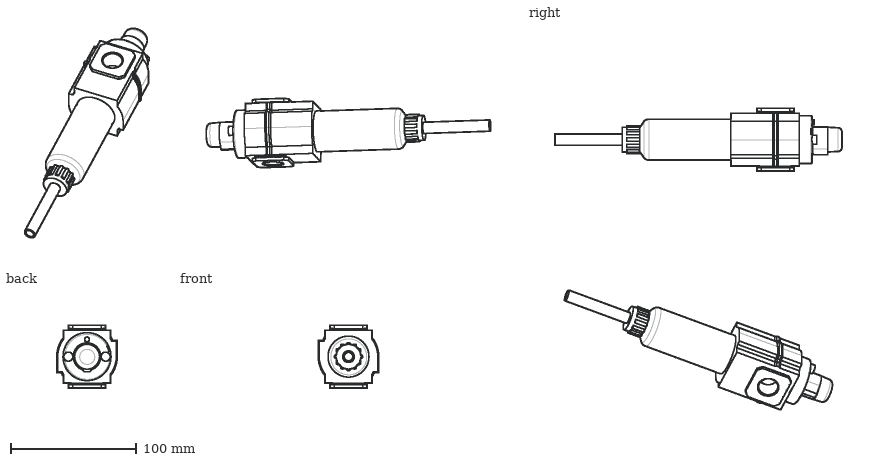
import cadquery as cq
import math


OVERALL_LENGTH = 229.6
KNOB_TIP_Y = 53.3
KNOB_STEP_Y = 42.0
BONNET_TOP_Y = 29.3
HOUSING_TOP_Y = 19.1
HOUSING_BOTTOM_Y = -35.6
BOWL_SHOULDER_Y = -101.4
BOWL_BOTTOM_Y = -108.6
GRIP_BOTTOM_Y = -118.7
NUT_BOTTOM_Y = -122.6
TUBE_END_Y = KNOB_TIP_Y - OVERALL_LENGTH

HOUSING_HALF_HEIGHT = 21.25
FACE_HALF_WIDTH = 18.4
FLANK_RADIUS = 23.45
LEDGE_Z = 12.15
LEDGE_SLOPE_HEIGHT = 2.85
LEDGE_SLOPE_WIDTH = 1.5

BAND_HEIGHT = 0.75
BAND_BASE_HALF = 2.3
BAND_CREST_HALF = 1.0

OVERALL_HEIGHT = 50.25
FLANGE_SIZE = 29.8
FLANGE_CORNER = 3.5
FLANGE_OUTER_Z = OVERALL_HEIGHT / 2
FLANGE_THICKNESS = 2.7
NECK_SIZE = 25.2
PORT_RADIUS = 7.7
PORT_CHAMFER = 0.8
PORT_DEPTH = 15.0

BONNET_RADIUS = 19.2
BONNET_FILLET = 1.2
SEAT_RADIUS = 11.0
SEAT_HEIGHT = 0.6
POST_RADIUS = 3.65
POST_OFFSET = 14.9
POST_HEIGHT = 3.7
PIN_RADIUS = 1.9
PIN_OFFSET = 13.8
PIN_HEIGHT = 1.7

KNOB_RADIUS = 10.1
KNOB_CAP_BASE_RADIUS = 10.05
KNOB_CAP_TOP_RADIUS = 9.45
KNOB_CAP_FILLET = 3.6
LUG_REACH = 12.2
LUG_FLANK_ANGLE = math.radians(45)

BOWL_RADIUS = 16.4
BOWL_BEND_RADIUS = 4.75
BOWL_BEND_ANGLE = math.radians(55)

NUT_RADIUS = 10.05
GRIP_COUNT = 12
GRIP_RIB_RADIUS = 1.4
GRIP_TIP_RADIUS = 11.25
TUBE_RADIUS = 4.6
TUBE_BORE_RADIUS = 3.4


def cylinder_along_y(radius, y_start, y_end, x=0.0, z=0.0):
    """Cylinder parallel to Y between two Y places."""
    direction = cq.Vector(0, math.copysign(1, y_end - y_start), 0)
    solid = cq.Solid.makeCylinder(radius, abs(y_end - y_start), cq.Vector(x, y_start, z), direction)
    return cq.Workplane(obj=solid)


def housing_outline(y, grow=0.0):
    """Closed housing cross section at y, with both flanks moved outward by grow."""
    face_x = FACE_HALF_WIDTH + grow
    radius = FLANK_RADIUS + grow
    ledge_x = face_x + LEDGE_SLOPE_WIDTH
    ledge_z = LEDGE_Z + grow
    slope_top_z = ledge_z + LEDGE_SLOPE_HEIGHT
    arc_end_z = math.sqrt(radius**2 - face_x**2)
    half_arc = math.asin(arc_end_z / radius) / 2
    arc_mid = (radius * math.cos(half_arc), radius * math.sin(half_arc))

    outline = cq.Workplane("XZ", origin=(0, y, 0)).moveTo(face_x, HOUSING_HALF_HEIGHT)
    for side in (-1, 1):
        outline = (
            outline.lineTo(side * face_x, -side * HOUSING_HALF_HEIGHT)
            .lineTo(side * face_x, -side * slope_top_z)
            .lineTo(side * ledge_x, -side * ledge_z)
            .lineTo(side * radius, -side * ledge_z)
            .lineTo(side * radius, 0)
            .threePointArc((side * arc_mid[0], side * arc_mid[1]), (side * face_x, side * arc_end_z))
            .lineTo(side * face_x, side * HOUSING_HALF_HEIGHT)
        )
    return outline.close()


def band_half(direction):
    """Half of the band, tapering from its crest towards +Y or -Y."""
    crest = housing_outline(direction * BAND_CREST_HALF, BAND_HEIGHT).val()
    base = housing_outline(direction * BAND_BASE_HALF).val()
    return cq.Workplane(obj=cq.Solid.makeLoft([crest, base], True))


def port_flange(side):
    """Square flange with cut corners on a narrower neck, on the +Z or -Z face."""
    flange_inner_z = FLANGE_OUTER_Z - FLANGE_THICKNESS
    flange = (
        cq.Workplane("XY", origin=(0, 0, side * flange_inner_z))
        .rect(FLANGE_SIZE, FLANGE_SIZE)
        .extrude(side * FLANGE_THICKNESS)
        .edges("|Z")
        .chamfer(FLANGE_CORNER)
    )
    neck = (
        cq.Workplane("XY", origin=(0, 0, side * HOUSING_HALF_HEIGHT))
        .rect(NECK_SIZE, NECK_SIZE)
        .extrude(side * (flange_inner_z - HOUSING_HALF_HEIGHT))
    )
    return flange.union(neck)


def port_hole(side):
    """Blind round port with a chamfered mouth."""
    mouth_radius = PORT_RADIUS + PORT_CHAMFER
    floor_z = FLANGE_OUTER_Z - PORT_DEPTH
    profile = [
        (0, side * floor_z),
        (PORT_RADIUS, side * floor_z),
        (PORT_RADIUS, side * (FLANGE_OUTER_Z - PORT_CHAMFER)),
        (mouth_radius, side * FLANGE_OUTER_Z),
        (0, side * FLANGE_OUTER_Z),
    ]
    return cq.Workplane("XZ").polyline(profile).close().revolve(360, (0, 0), (0, 1))


def make_housing():
    housing = housing_outline(HOUSING_TOP_Y).extrude(HOUSING_TOP_Y - HOUSING_BOTTOM_Y)
    band_core = housing_outline(BAND_CREST_HALF, BAND_HEIGHT).extrude(2 * BAND_CREST_HALF)
    housing = housing.union(band_core)
    for side in (-1, 1):
        housing = housing.union(band_half(side)).union(port_flange(side))
    for side in (-1, 1):
        housing = housing.cut(port_hole(side))
    return housing


def make_bonnet():
    """Round cover with two posts, a small pin and a raised seat for the knob."""
    bonnet = cylinder_along_y(BONNET_RADIUS, HOUSING_TOP_Y, BONNET_TOP_Y)
    bonnet = bonnet.faces(">Y").edges().fillet(BONNET_FILLET)
    bonnet = bonnet.union(cylinder_along_y(SEAT_RADIUS, HOUSING_TOP_Y, BONNET_TOP_Y + SEAT_HEIGHT))
    for side in (-1, 1):
        post = cylinder_along_y(POST_RADIUS, HOUSING_TOP_Y, BONNET_TOP_Y + POST_HEIGHT, x=side * POST_OFFSET)
        bonnet = bonnet.union(post)
    pin = cylinder_along_y(PIN_RADIUS, HOUSING_TOP_Y, BONNET_TOP_Y + PIN_HEIGHT, z=PIN_OFFSET)
    return bonnet.union(pin)


def make_knob():
    """Round knob with a tapered, rounded cap and a lug under its lower part."""
    knob_base_y = BONNET_TOP_Y + SEAT_HEIGHT
    profile = [
        (0, knob_base_y),
        (KNOB_RADIUS, knob_base_y),
        (KNOB_RADIUS, KNOB_STEP_Y),
        (KNOB_CAP_BASE_RADIUS, KNOB_STEP_Y),
        (KNOB_CAP_TOP_RADIUS, KNOB_TIP_Y),
        (0, KNOB_TIP_Y),
    ]
    knob = cq.Workplane("XY").polyline(profile).close().revolve(360, (0, 0), (0, 1))
    knob = knob.faces(">Y").edges().fillet(KNOB_CAP_FILLET)

    root_x = KNOB_RADIUS * math.sin(LUG_FLANK_ANGLE)
    root_z = KNOB_RADIUS * math.cos(LUG_FLANK_ANGLE)
    tip_x = root_x - (LUG_REACH - root_z) / math.tan(LUG_FLANK_ANGLE)
    lug_outline = [(root_x, -root_z), (tip_x, -LUG_REACH), (-tip_x, -LUG_REACH), (-root_x, -root_z)]
    lug = (
        cq.Workplane("XZ", origin=(0, KNOB_STEP_Y, 0))
        .polyline(lug_outline)
        .close()
        .extrude(KNOB_STEP_Y - knob_base_y)
    )
    return knob.union(lug)


def make_bowl():
    """Cylindrical bowl whose lower end bends into a cone."""
    bend_centre_radius = BOWL_RADIUS - BOWL_BEND_RADIUS

    def bend_point(angle):
        return (
            bend_centre_radius + BOWL_BEND_RADIUS * math.cos(angle),
            BOWL_SHOULDER_Y - BOWL_BEND_RADIUS * math.sin(angle),
        )

    cone_start = bend_point(BOWL_BEND_ANGLE)
    cone_length = cone_start[1] - BOWL_BOTTOM_Y
    cone_end_radius = cone_start[0] - cone_length * math.tan(BOWL_BEND_ANGLE)
    return (
        cq.Workplane("XY")
        .moveTo(0, HOUSING_BOTTOM_Y)
        .lineTo(BOWL_RADIUS, HOUSING_BOTTOM_Y)
        .lineTo(BOWL_RADIUS, BOWL_SHOULDER_Y)
        .threePointArc(bend_point(BOWL_BEND_ANGLE / 2), cone_start)
        .lineTo(cone_end_radius, BOWL_BOTTOM_Y)
        .lineTo(0, BOWL_BOTTOM_Y)
        .close()
        .revolve(360, (0, 0), (0, 1))
    )


def make_drain():
    """Ribbed drain nut with its outlet tube."""
    drain = cylinder_along_y(NUT_RADIUS, BOWL_BOTTOM_Y, NUT_BOTTOM_Y)
    rib_offset = GRIP_TIP_RADIUS - GRIP_RIB_RADIUS
    for index in range(GRIP_COUNT):
        angle = math.radians(360 * index / GRIP_COUNT)
        rib_x = rib_offset * math.cos(angle)
        rib_z = rib_offset * math.sin(angle)
        drain = drain.union(cylinder_along_y(GRIP_RIB_RADIUS, BOWL_BOTTOM_Y, GRIP_BOTTOM_Y, rib_x, rib_z))
    drain = drain.union(cylinder_along_y(TUBE_RADIUS, NUT_BOTTOM_Y, TUBE_END_Y))
    return drain.cut(cylinder_along_y(TUBE_BORE_RADIUS, BOWL_BOTTOM_Y, TUBE_END_Y))


housing = make_housing()
bonnet = make_bonnet()
knob = make_knob()
bowl = make_bowl()
drain = make_drain()

result = cq.Compound.makeCompound([housing.val(), bonnet.val(), knob.val(), bowl.val(), drain.val()])